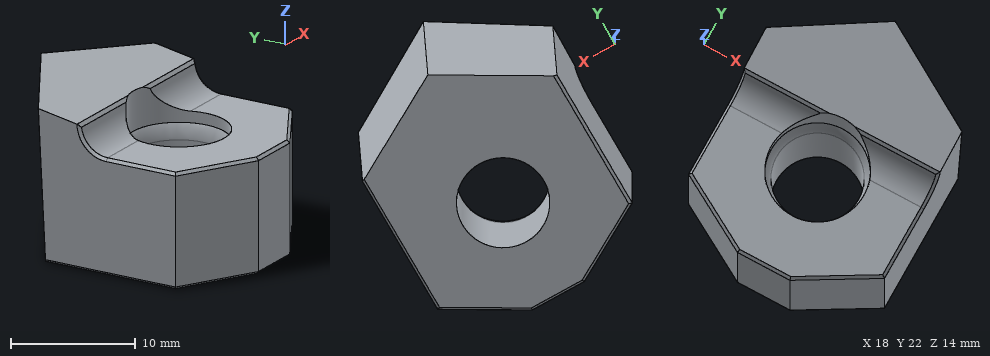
import cadquery as cq
import math

width = 18.0
front_depth = 9.0
apex_depth = 13.0
height = 14.0
ledge_height = 10.0
plan_angle = 30.0
rear_draft = 3.0
top_slope = 10.0
groove_radius = 2.5
groove_start = 1.35
edge_chamfer = 0.25
hole_diameter = 7.5
bore_diameter = 8.5
bore_depth = 1.0
seat_radius = 2.0

half_width = width / 2
corner_rise = half_width * math.tan(math.radians(plan_angle))
front_corner_x = half_width - (front_depth - corner_rise) / math.tan(math.radians(plan_angle))
rear_shift = height * math.tan(math.radians(rear_draft))
groove_wall_y = groove_start + groove_radius
groove_center_z = ledge_height + groove_radius
step_height = height - (apex_depth - groove_wall_y) * math.tan(math.radians(top_slope))
tolerance = 1e-4


def make_prism():
    """Seven-sided prism with a vertical rear apex."""
    outline = [
        (-front_corner_x, -front_depth),
        (front_corner_x, -front_depth),
        (half_width, -corner_rise),
        (half_width, apex_depth - corner_rise),
        (0, apex_depth),
        (-half_width, apex_depth - corner_rise),
        (-half_width, -corner_rise),
    ]
    return cq.Workplane("XY").polyline(outline).close().extrude(height)


def make_rear_envelope():
    """V-nosed sweep leaning along Y, whose sides become the undercut rear faces."""
    def nose(plane, apex_y):
        return plane.polyline([
            (-width, -width),
            (width, -width),
            (width, apex_y - 2 * corner_rise),
            (0, apex_y),
            (-width, apex_y - 2 * corner_rise),
        ]).close()

    base = nose(cq.Workplane("XY"), apex_depth - rear_shift)
    return nose(base.workplane(offset=height), apex_depth).loft(ruled=True)


def make_side_envelope():
    """YZ profile with the ledge, quarter-round groove and sloping top, extruded along X."""
    arc_angle = math.asin((step_height - groove_center_z) / groove_radius)
    middle_angle = (arc_angle - math.pi / 2) / 2
    arc_middle = (
        groove_start + groove_radius * math.cos(middle_angle),
        groove_center_z + groove_radius * math.sin(middle_angle),
    )
    arc_end = (groove_start + groove_radius * math.cos(arc_angle), step_height)
    return (
        cq.Workplane("YZ")
        .moveTo(-front_depth, 0)
        .lineTo(-front_depth, ledge_height)
        .lineTo(groove_start, ledge_height)
        .threePointArc(arc_middle, arc_end)
        .lineTo(apex_depth, height)
        .lineTo(apex_depth, 0)
        .close()
        .extrude(half_width, both=True)
    )


def is_chamfered(edge):
    """Ledge, groove and step edges, and base edges, except along the rear faces."""
    box = edge.BoundingBox()
    center = edge.Center()
    spans_width = box.xlen > width - tolerance
    on_side = abs(abs(center.x) - half_width) < tolerance
    on_base = box.zmax < tolerance
    on_ledge = box.zmin > ledge_height - tolerance and box.zmax < ledge_height + tolerance
    if on_base or on_ledge:
        at_rear = not on_side and center.y > 0
        return not at_rear
    on_groove = on_side and edge.geomType() == "CIRCLE"
    on_step = spans_width and box.zmin > ledge_height
    return on_groove or on_step


def chamfer_edges(body):
    edges = [edge for edge in body.edges().vals() if is_chamfered(edge)]
    return body.newObject(edges).chamfer(edge_chamfer)


def cut_hole(body):
    """Through hole whose counterbore floor is a convex screw seat, tangent to the hole wall."""
    hole_radius = hole_diameter / 2
    bore_radius = bore_diameter / 2
    seat_top = ledge_height - bore_depth
    seat_angle = math.acos(1 - (bore_radius - hole_radius) / seat_radius)
    seat_bottom = seat_top - seat_radius * math.sin(seat_angle)
    seat_middle = (
        hole_radius + seat_radius * (1 - math.cos(seat_angle / 2)),
        seat_bottom + seat_radius * math.sin(seat_angle / 2),
    )
    cutter = (
        cq.Workplane("YZ")
        .lineTo(hole_radius, 0)
        .lineTo(hole_radius, seat_bottom)
        .threePointArc(seat_middle, (bore_radius, seat_top))
        .lineTo(bore_radius, height)
        .lineTo(0, height)
        .close()
        .revolve(360, (0, 0), (0, 1))
    )
    return body.cut(cutter)


body = make_prism().intersect(make_rear_envelope()).intersect(make_side_envelope())
result = cut_hole(chamfer_edges(body))